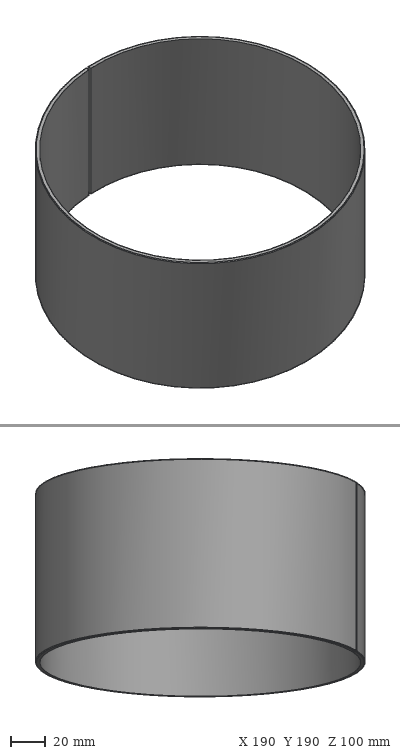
import cadquery as cq

outer_diameter = 190.0
wall = 2.5
height = 100.0

rim_chamfer = 0.5
slit_angle = 1.0

outer_radius = outer_diameter / 2
inner_radius = outer_radius - wall
chamfer_radius = outer_radius - rim_chamfer

wall_section = (
    cq.Workplane("XZ")
    .moveTo(-inner_radius, 0)
    .lineTo(-chamfer_radius, 0)
    .lineTo(-outer_radius, rim_chamfer)
    .lineTo(-outer_radius, height - rim_chamfer)
    .lineTo(-chamfer_radius, height)
    .lineTo(-inner_radius, height)
    .close()
)

result = wall_section.revolve(360 - slit_angle, (0, 0, 0), (0, 1, 0))